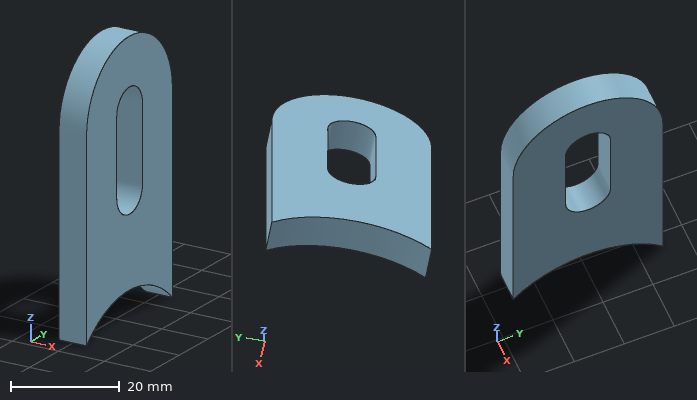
import cadquery as cq
import math

thickness = 6.0
width = 30.0
height = 56.2
saddle_radius = 21.2
slot_width = 9.0
slot_length = 25.0
slot_top_margin = 10.0

half_width = width / 2
shoulder_z = height - half_width
saddle_depth = saddle_radius - math.sqrt(saddle_radius**2 - half_width**2)
slot_center_z = height - slot_top_margin - slot_length / 2


def make_plate():
    """Plate with a semicircular crown and a concave lower edge."""
    return (
        cq.Workplane("YZ")
        .moveTo(-half_width, 0)
        .lineTo(-half_width, shoulder_z)
        .threePointArc((0, height), (half_width, shoulder_z))
        .lineTo(half_width, 0)
        .threePointArc((0, saddle_depth), (-half_width, 0))
        .close()
        .extrude(thickness)
    )


def make_slot():
    """Vertical round-ended slot through the full thickness."""
    return (
        cq.Workplane("YZ")
        .center(0, slot_center_z)
        .slot2D(slot_length, slot_width, angle=90)
        .extrude(thickness)
    )


result = make_plate().cut(make_slot())